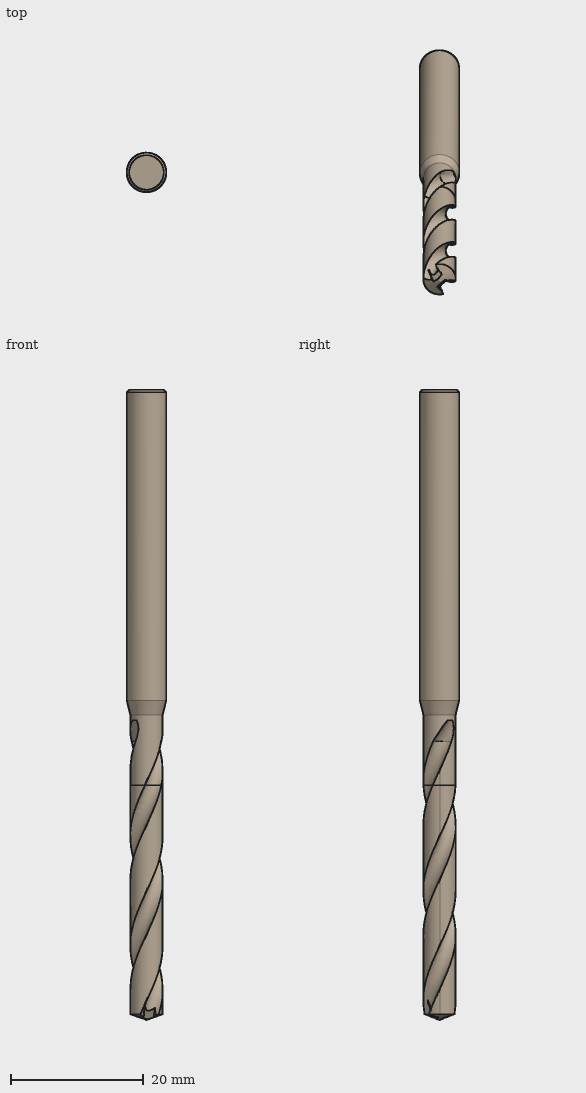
import cadquery as cq
import math

total_length = 95.0
shank_diameter = 6.0
drill_diameter = 4.9
point_angle = 140.0
helix_angle = 25.0
shank_start = 48.2
taper_start = 46.0
body_joint = 35.4
flute_end = 42.0
runout_end = 45.2
top_chamfer = 0.4

flute_count = 2
flute_opening = 71.0
flute_depth = 1.5
flute_end_angle = 192.0
runout_tangential = 1.9
runout_radial = 0.9

gash_wall = 1.0
gash_length = 1.7
gash_rise = 3.0
gash_reach = 1.3
gash_swing = 20.0

shank_radius = shank_diameter / 2
drill_radius = drill_diameter / 2
point_height = drill_radius / math.tan(math.radians(point_angle / 2))
helix_pitch = math.pi * drill_diameter / math.tan(math.radians(helix_angle))
half_opening = math.radians(flute_opening / 2)
lip_radial = drill_radius * math.cos(half_opening)
lip_side = drill_radius * math.sin(half_opening)
floor_radial = drill_radius - flute_depth
lip_depth = lip_radial - floor_radial
flute_radius = (lip_side ** 2 + lip_depth ** 2) / (2 * lip_depth)
flute_offset = floor_radial + flute_radius
flute_turns = [360 * i / flute_count for i in range(flute_count)]


def revolve_profile(points):
    """Revolve an (r, z) outline about the Z axis."""
    return cq.Workplane("XZ").polyline(points).close().revolve(360, (0, 0), (0, 1))


def helical_flute(angle):
    """Twisted cutter whose upper end, at flute_end, points at the given angle."""
    twist = 360 * flute_end / helix_pitch
    section = cq.Workplane("XY").moveTo(flute_offset, 0).circle(flute_radius)
    return section.twistExtrude(flute_end, twist).rotate((0, 0, 0), (0, 0, 1), angle - twist)


def flute_runout(angle):
    """Slanted cutter that carries a flute out through the surface of the neck."""
    cutter = (
        cq.Workplane("XY", origin=(flute_offset, 0, flute_end))
        .circle(flute_radius)
        .workplane(offset=runout_end - flute_end)
        .center(runout_radial, runout_tangential)
        .circle(flute_radius)
        .loft(ruled=True)
    )
    return cutter.rotate((0, 0, 0), (0, 0, 1), angle)


def point_gash(turn):
    """Wedge below a sloping face, beside the axis on the flute that opens toward -Y."""
    wedge = (
        cq.Workplane("YZ", origin=(gash_wall, 0, 0))
        .polyline([(0, 0), (-gash_reach, gash_rise), (-gash_reach, 0)])
        .close()
        .extrude(-gash_length)
    )
    swung = wedge.rotate((gash_wall, 0, 0), (gash_wall, 0, 1), gash_swing)
    return swung.rotate((0, 0, 0), (0, 0, 1), turn)


def cut_flutes(body):
    """Cut every flute and its runout from a body."""
    for turn in flute_turns:
        body = body.cut(helical_flute(flute_end_angle + turn))
        body = body.cut(flute_runout(flute_end_angle + turn))
    return body


def make_cutting_part():
    """Fluted lower body with a conical, gashed point."""
    blank = revolve_profile([
        (0, 0),
        (drill_radius, point_height),
        (drill_radius, body_joint),
        (0, body_joint),
    ])
    body = cut_flutes(blank)
    for turn in flute_turns:
        body = body.cut(point_gash(turn))
    return body


def make_shank():
    """Upper body: fluted neck, taper and chamfered shank."""
    blank = revolve_profile([
        (0, body_joint),
        (drill_radius, body_joint),
        (drill_radius, taper_start),
        (shank_radius, shank_start),
        (shank_radius, total_length - top_chamfer),
        (shank_radius - top_chamfer, total_length),
        (0, total_length),
    ])
    return cut_flutes(blank)


cutting_part = make_cutting_part()
shank = make_shank()

result = cq.Compound.makeCompound([cutting_part.val(), shank.val()])